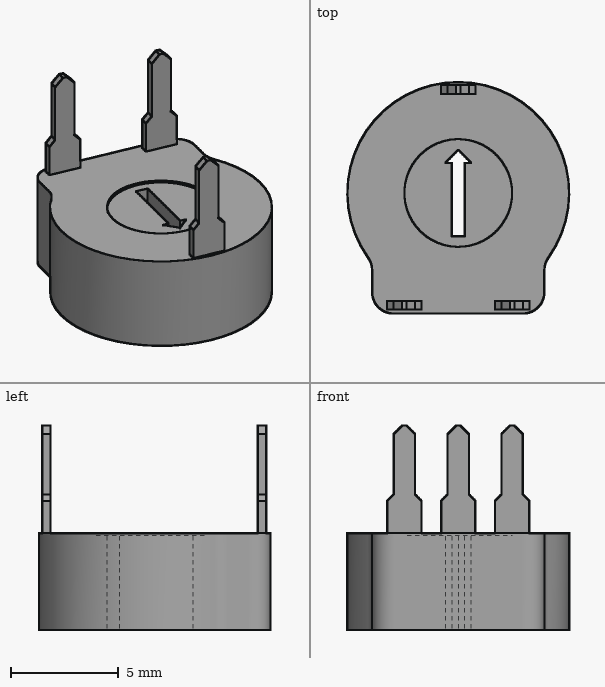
import cadquery as cq
import math

body_radius = 5.15
body_height = 4.5
foot_width = 8.0
foot_reach = 5.6
foot_corner_radius = 1.0
neck_fillet_radius = 1.0

rotor_radius = 2.5
rotor_recess_depth = 0.1
arrow_length = 4.0
arrow_shaft_width = 0.6
arrow_head_width = 1.2
arrow_head_length = 0.6

pin_thickness = 0.4
pin_height = 5.0
pin_base_width = 1.6
pin_base_height = 1.5
pin_shank_width = 1.0
pin_shoulder_height = (pin_base_width - pin_shank_width) / 2
pin_tip_width = 0.2
pin_tip_height = 0.4
pin_pitch = 2.5
rear_pin_y = 4.8
pin_row_spacing = 10.0
front_pin_y = rear_pin_y - pin_row_spacing
pin_places = [(-pin_pitch, front_pin_y), (0, rear_pin_y), (pin_pitch, front_pin_y)]


def make_housing():
    """Extrude the keyhole-shaped outline."""
    half_foot = foot_width / 2
    neck_center_x = half_foot + neck_fillet_radius
    neck_center_distance = body_radius + neck_fillet_radius
    neck_y = -math.sqrt(neck_center_distance**2 - neck_center_x**2)
    touch_x = neck_center_x * body_radius / neck_center_distance
    touch_y = neck_y * body_radius / neck_center_distance
    corner_x = half_foot - foot_corner_radius
    corner_y = foot_corner_radius - foot_reach
    return (
        cq.Workplane("XY")
        .moveTo(touch_x, touch_y)
        .threePointArc((0, body_radius), (-touch_x, touch_y))
        .radiusArc((-half_foot, neck_y), neck_fillet_radius)
        .lineTo(-half_foot, corner_y)
        .radiusArc((-corner_x, -foot_reach), -foot_corner_radius)
        .lineTo(corner_x, -foot_reach)
        .radiusArc((half_foot, corner_y), -foot_corner_radius)
        .lineTo(half_foot, neck_y)
        .radiusArc((touch_x, touch_y), neck_fillet_radius)
        .close()
        .extrude(body_height)
    )


def make_rotor_recess():
    """Shallow round pocket in the top face."""
    recess_floor = body_height - rotor_recess_depth
    return cq.Workplane("XY").workplane(offset=recess_floor).circle(rotor_radius).extrude(rotor_recess_depth)


def make_arrow():
    """Arrow-shaped prism pointing to +Y, through the full body height."""
    tip_y = arrow_length / 2
    head_base_y = tip_y - arrow_head_length
    half_shaft = arrow_shaft_width / 2
    half_head = arrow_head_width / 2
    outline = [
        (half_shaft, -tip_y),
        (half_shaft, head_base_y),
        (half_head, head_base_y),
        (0, tip_y),
        (-half_head, head_base_y),
        (-half_shaft, head_base_y),
        (-half_shaft, -tip_y),
    ]
    return cq.Workplane("XY").polyline(outline).close().extrude(body_height)


def make_pin(x, y):
    """Stepped blade standing on the top face, centred on (x, y)."""
    half_profile = [
        (pin_base_width / 2, 0),
        (pin_base_width / 2, pin_base_height),
        (pin_shank_width / 2, pin_base_height + pin_shoulder_height),
        (pin_shank_width / 2, pin_height - pin_tip_height),
        (pin_tip_width / 2, pin_height),
    ]
    mirrored = [(-px, pz) for px, pz in reversed(half_profile)]
    blade = cq.Workplane("XZ").polyline(half_profile + mirrored).close()
    return blade.extrude(pin_thickness / 2, both=True).translate((x, y, body_height))


result = make_housing().cut(make_rotor_recess()).cut(make_arrow())
for pin_x, pin_y in pin_places:
    result = result.union(make_pin(pin_x, pin_y))